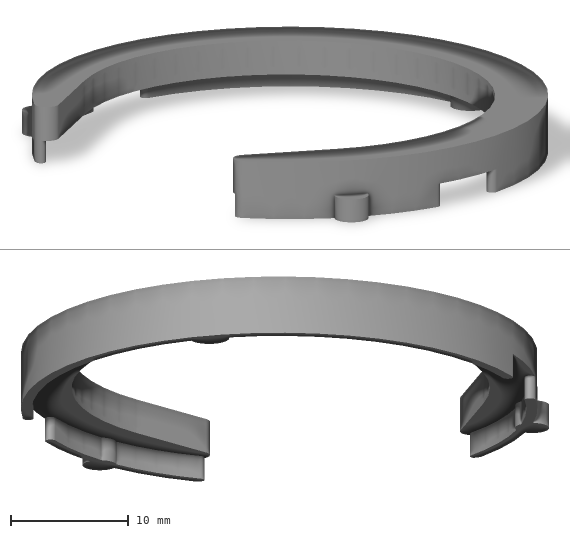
import cadquery as cq
import math

outer_radius = 21.9
inner_radius = 17.75
inner_center_y = -0.5
total_height = 5.0
wall_height = 2.0

tip_radius = 1.05
lowest_y = -18.0

wall_thickness = 0.9
side_gap_half_width = 3.45
wall_end_angle = 235.3
clearance = 1.3

side_peg_radius = 1.45
side_peg_x = 19.1
side_peg_y = -11.2
back_peg_radius = 1.7
back_peg_y = 21.25


def polar(radius, angle, center=(0.0, 0.0)):
    """Point at a distance and an angle in degrees from a center."""
    a = math.radians(angle)
    return (center[0] + radius * math.cos(a), center[1] + radius * math.sin(a))


def mirrored(point):
    return (-point[0], point[1])


def ring_body(height):
    """C-shaped ring whose arms taper along straight tangents to round tips."""
    inner_center = (0.0, inner_center_y)
    tip_y = lowest_y + tip_radius
    tip_x = -math.sqrt((outer_radius - tip_radius) ** 2 - tip_y**2)
    tip = (tip_x, tip_y)

    dx = tip_x
    dy = tip_y - inner_center_y
    spread = math.acos((inner_radius + tip_radius) / math.hypot(dx, dy))
    normal_angle = math.degrees(math.atan2(dy, dx) - spread)
    inner_tangent = polar(inner_radius, normal_angle, inner_center)
    tip_inner = polar(tip_radius, normal_angle + 180, tip)

    tip_angle = math.degrees(math.atan2(tip_y, tip_x))
    tip_outer = polar(outer_radius, tip_angle)
    tip_middle = polar(tip_radius, (tip_angle + normal_angle + 180) / 2, tip)

    return (
        cq.Workplane("XY")
        .moveTo(*tip_outer)
        .threePointArc((0, outer_radius), mirrored(tip_outer))
        .threePointArc(mirrored(tip_middle), mirrored(tip_inner))
        .lineTo(*mirrored(inner_tangent))
        .threePointArc((0, inner_center_y + inner_radius), inner_tangent)
        .lineTo(*tip_inner)
        .threePointArc(tip_middle, tip_outer)
        .close()
        .extrude(height)
    )


def wall_zone(start_angle, end_angle):
    """Zone kept as a thin wall: rounded at both ends, running out past the ring's outer face."""
    inner = outer_radius - wall_thickness
    middle = outer_radius - wall_thickness / 2
    beyond = outer_radius + clearance
    end_radius = wall_thickness / 2
    mid_angle = (start_angle + end_angle) / 2
    start_cap = polar(end_radius, start_angle - 90, polar(middle, start_angle))
    end_cap = polar(end_radius, end_angle + 90, polar(middle, end_angle))
    return (
        cq.Workplane("XY")
        .moveTo(*polar(beyond, start_angle))
        .threePointArc(polar(beyond, mid_angle), polar(beyond, end_angle))
        .lineTo(*polar(outer_radius, end_angle))
        .threePointArc(end_cap, polar(inner, end_angle))
        .threePointArc(polar(inner, mid_angle), polar(inner, start_angle))
        .threePointArc(start_cap, polar(outer_radius, start_angle))
        .close()
        .extrude(wall_height)
    )


def peg(x, y, radius):
    return cq.Workplane("XY").center(x, y).circle(radius).extrude(wall_height)


gap_angle = math.degrees(math.asin(side_gap_half_width / outer_radius))
left_zone = wall_zone(180 + gap_angle, wall_end_angle)
relief = cq.Workplane("XY").circle(outer_radius + 2 * clearance).extrude(wall_height)
relief = relief.cut(wall_zone(gap_angle, 180 - gap_angle))
relief = relief.cut(left_zone).cut(left_zone.mirror("YZ"))
relief = relief.cut(peg(0, back_peg_y, back_peg_radius))
result = ring_body(total_height).cut(relief)

for side in (-1, 1):
    result = result.union(peg(side * side_peg_x, side_peg_y, side_peg_radius))